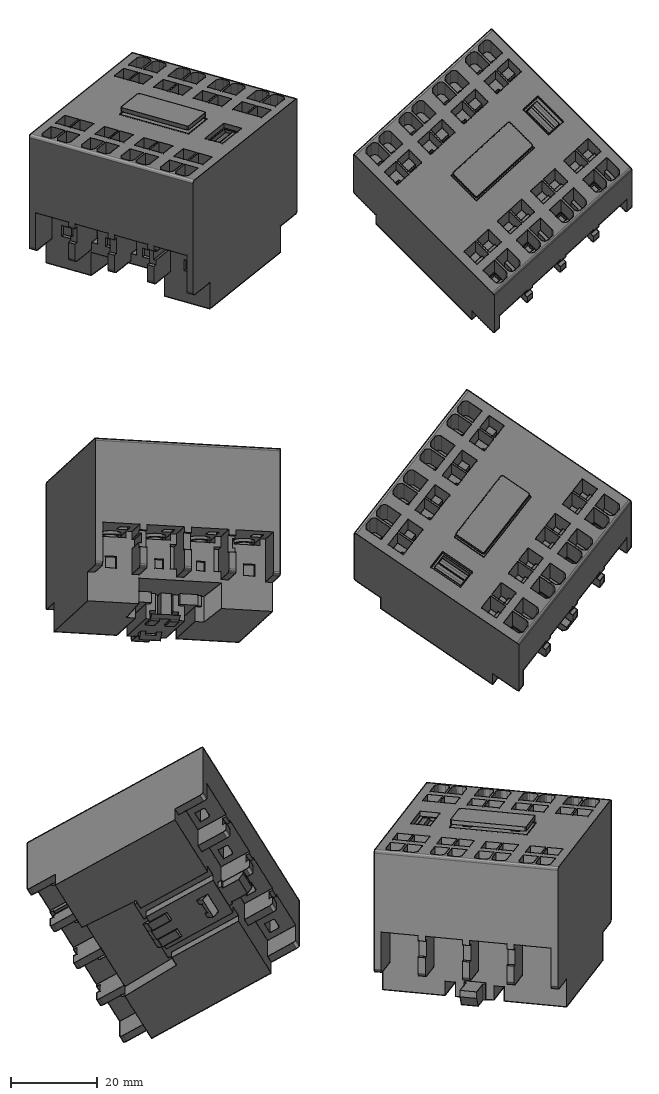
import cadquery as cq

body_width = 43.9
body_depth = 47.0
body_top = 36.95
flange_bottom = 6.85
base_depth = 31.95
top_fillet = 0.65
bottom_fillet = 0.85
face_y = base_depth / 2

pole_pitch = 10.58
pole_centres = [pole_pitch * (i - 1.5) for i in range(4)]

window_top = 17.0
partition_width = 1.75
partition_half = partition_width / 2
outer_window_end = 20.25
partition_step_z = 11.7
partition_step = 0.95
partition_head_z = 15.75

notch_width = 0.6
notch_bottom = 12.92
notch_top = 15.15
groove_outer_width = 1.6
groove_inner_width = 1.45
groove_bottom = 8.7
groove_top = 14.5
groove_depth = 2.35
outer_square = 2.7
outer_square_bottom = 8.15
outer_square_x = 16.4
inner_square = 2.05
inner_square_bottom = 8.65
inner_square_x = 4.95
square_top = 10.9
square_depth = 0.95
screw_pocket_width = 6.1
screw_pocket_bottom = 15.45
screw_pocket_depth = 5.65
screw_head_radius = 2.5
screw_head_bottom = 16.25
screw_tip_radius = 1.85

bay_width = 3.55
bay_gap = 0.5
bay_offset = (bay_width + bay_gap) / 2
bay_inner_y = 17.45
bay_outer_y = 22.4
bay_corner = 1.2
bay_depth = 9.4
wire_hole_width = 2.5
wire_hole_length = 2.6
wire_hole_shift = 0.3
wire_hole_corner = 0.4
blind_pocket_width = 2.65
blind_pocket_length = 2.0
blind_pocket_inset = 0.25
blind_pocket_depth = 1.9
tool_width = 3.65
tool_inner_y = 11.15
tool_outer_y = 15.4
tool_ledge_y = 13.25
tool_ledge_depth = 6.6
tool_depth = 8.45
tool_post_radius = 1.2

plate_length = 18.1
plate_width = 8.05
plate_bottom = 37.65
plate_thickness = 1.05
plate_corner = 0.25
plate_clearance = 0.2
plate_recess_depth = 0.25
pin_length = 2.0
pin_width = 1.18
pin_spacing_x = 11.37
pin_spacing_y = 3.15

switch_x = 16.098
switch_length = 8.55
switch_width = 4.75
switch_depth = 1.2
slider_left = 14.1
slider_length = 7.55

clip_x = -0.25
cavity_width = 19.65
cavity_taper = 0.6
cavity_height = 6.05
cavity_back_y = -1.9
channel_x = 5.85
channel_width = 2.45
channel_height = 3.52
pad_x = 5.55
pad_width = 4.25
pad_thickness = 1.4
outer_pad_width = 1.0
outer_pad_thickness = 0.7
nose_y = -3.55
nose_z = 0.85
foot_width = 6.75
foot_bottom = -0.45
foot_front_y = -2.65
foot_back_y = 2.8
foot_bevel = 0.38
foot_top = 1.4
undercut_top = 2.0
undercut_depth = 0.95
bar_width = 2.5
bar_top = 5.88
slot_width = 4.1
slot_depth = 1.4
wedge_width = 5.0
wedge_tip_z = -1.7
tab_top = 4.1
tab_bottom = 0.15
tab_width = 4.0
tab_end_y = 22.35
neck_width = wedge_width
neck_length = 0.95


def block(x_min, x_max, y_min, y_max, z_min, z_max):
    size = (x_max - x_min, y_max - y_min, z_max - z_min)
    return cq.Workplane("XY").box(*size, centered=False).translate((x_min, y_min, z_min))


def centred_block(x, width, y_min, y_max, z_min, z_max):
    return block(x - width / 2, x + width / 2, y_min, y_max, z_min, z_max)


def side_prism(points, x, width):
    """Prism along X, centred on x, over an outline of (y, z) points."""
    return cq.Workplane("YZ").polyline(points).close().extrude(width / 2, both=True).translate((x, 0, 0))


def turned(shape):
    """The same shape turned half a turn about the vertical axis."""
    return shape.rotate((0, 0, 0), (0, 0, 1), 180)


def make_body():
    upper = centred_block(0, body_width, -body_depth / 2, body_depth / 2, flange_bottom, body_top)
    upper = upper.edges("|X and >Z").fillet(top_fillet)
    upper = upper.edges("|X and <Z").fillet(bottom_fillet)
    base = centred_block(0, body_width, -face_y, face_y, 0, body_top / 2)
    return upper.union(base)


def make_windows():
    """Four windows through the front of the flange and the stepped partitions between them."""
    front_y = -body_depth / 2
    cut = block(-outer_window_end, outer_window_end, front_y, -face_y, 0, window_top)
    for i in (-1, 0, 1):
        x = i * pole_pitch
        partition = side_prism(
            [
                (front_y, 0),
                (front_y, partition_step_z),
                (front_y + partition_step, partition_step_z),
                (front_y + partition_step, partition_head_z),
                (front_y, partition_head_z),
                (front_y, window_top),
                (-face_y, window_top),
                (-face_y, 0),
            ],
            x,
            partition_width,
        )
        cut = cut.cut(partition)
    return cut


def make_front_details():
    """Recesses behind the front windows: side grooves, clamp squares and partition notches."""
    edge = pole_pitch - partition_half
    right = block(partition_half, partition_half + groove_inner_width,
                  -face_y, -face_y + groove_depth, groove_bottom, groove_top)
    right = right.union(block(edge - groove_outer_width, edge,
                              -face_y, -face_y + groove_depth, groove_bottom, groove_top))
    right = right.union(centred_block(outer_square_x, outer_square, -face_y, -face_y + square_depth,
                                      outer_square_bottom, square_top))
    right = right.union(centred_block(inner_square_x, inner_square, -face_y, -face_y + square_depth,
                                      inner_square_bottom, square_top))
    notch_x = pole_pitch + partition_half
    right = right.union(block(notch_x - notch_width, notch_x,
                              -body_depth / 2, -face_y, notch_bottom, notch_top))
    return right.union(right.mirror("YZ"))


def make_screw_pockets():
    """Pockets above the windows, each holding a stepped screw hanging from its ceiling."""
    pockets = cq.Workplane("XY")
    back_y = -face_y + screw_pocket_depth
    for x in pole_centres:
        pocket = centred_block(x, screw_pocket_width, -face_y, back_y, screw_pocket_bottom, window_top)
        for radius, bottom in ((screw_head_radius, screw_head_bottom), (screw_tip_radius, screw_pocket_bottom)):
            screw = cq.Workplane("XY", origin=(x, -face_y + screw_pocket_depth / 2, bottom))
            pocket = pocket.cut(screw.circle(radius).extrude(window_top - bottom))
        pockets = pockets.union(pocket)
    return pockets


def make_bay(x):
    """Wire bay with its two outer corners rounded."""
    bay = centred_block(x, bay_width, bay_inner_y, bay_outer_y, body_top - bay_depth, body_top)
    return bay.edges("|Z and >Y").fillet(bay_corner)


def make_terminal(x):
    """Two wire bays and two tool openings of one pole, on the back edge of the top."""
    left = x - bay_offset
    right = x + bay_offset
    floor = body_top - bay_depth
    cut = make_bay(left).union(make_bay(right))
    wire_hole = centred_block(left + wire_hole_shift, wire_hole_width, bay_inner_y,
                              bay_inner_y + wire_hole_length, flange_bottom, floor)
    wire_hole = wire_hole.edges("|Z and >Y").fillet(wire_hole_corner)
    pocket_y = bay_inner_y + blind_pocket_inset
    blind = centred_block(right - wire_hole_shift, blind_pocket_width, pocket_y,
                          pocket_y + blind_pocket_length, floor - blind_pocket_depth, floor)
    cut = cut.union(wire_hole).union(blind)
    for centre in (left, right):
        cut = cut.union(centred_block(centre, tool_width, tool_inner_y, tool_outer_y,
                                      body_top - tool_ledge_depth, body_top))
    cut = cut.union(centred_block(right, tool_width, tool_inner_y, tool_ledge_y,
                                  body_top - tool_depth, body_top))
    deep_part = centred_block(left, tool_width, tool_inner_y, tool_ledge_y, body_top - tool_depth, body_top)
    post = cq.Workplane("XY", origin=(left + tool_width / 2, tool_ledge_y, body_top - tool_depth))
    deep_part = deep_part.cut(post.circle(tool_post_radius).extrude(tool_depth - tool_ledge_depth))
    return cut.union(deep_part)


def make_plate():
    """Label plate standing on four pins."""
    plate = centred_block(0, plate_length, -plate_width / 2, plate_width / 2,
                          plate_bottom, plate_bottom + plate_thickness)
    plate = plate.edges("|Z").chamfer(plate_corner)
    floor = body_top - plate_recess_depth
    pins = (
        cq.Workplane("XY", origin=(clip_x, 0, floor))
        .rarray(pin_spacing_x, pin_spacing_y, 2, 2)
        .rect(pin_length, pin_width)
        .extrude(plate_bottom - floor)
    )
    return plate.union(pins)


def make_plate_recess():
    half = plate_width / 2 + plate_clearance
    return centred_block(0, plate_length + 2 * plate_clearance, -half, half,
                         body_top - plate_recess_depth, body_top)


def make_switch_recess():
    """Recess of the slide switch, with the stepped slider profile sunk in its floor."""
    half = switch_length / 2
    floor = body_top - switch_depth
    recess = centred_block(switch_x, switch_width, -half, half, floor, body_top)
    slider = (
        cq.Workplane("XZ")
        .moveTo(slider_left, floor)
        .lineTo(14.5, floor - 0.75)
        .lineTo(15.15, floor - 0.75)
        .lineTo(15.9, floor - 0.65)
        .lineTo(16.3, floor - 0.1)
        .lineTo(17.05, floor - 0.1)
        .lineTo(17.65, floor - 0.2)
        .lineTo(17.65, floor)
        .close()
        .extrude(slider_length / 2, both=True)
    )
    return recess.union(slider)


def make_latch_cavity():
    """Front cavity with tapered sides, two channels along Y, and the recesses around the latch."""
    half = cavity_width / 2
    cavity = (
        cq.Workplane("XY")
        .polyline([(-half, -face_y), (half, -face_y),
                   (half - cavity_taper, cavity_back_y), (cavity_taper - half, cavity_back_y)])
        .close()
        .extrude(cavity_height)
    )
    for side in (-1, 1):
        cavity = cavity.union(centred_block(side * channel_x, channel_width, -face_y, face_y, 0, channel_height))
        x = clip_x + side * pad_x
        pad = centred_block(x, pad_width, cavity_back_y - pad_thickness, cavity_back_y,
                            channel_height, cavity_height)
        x += side * (pad_width + outer_pad_width) / 2
        pad = pad.union(centred_block(x, outer_pad_width, cavity_back_y - outer_pad_thickness, cavity_back_y,
                                      channel_height, cavity_height))
        cavity = cavity.cut(pad)
    undercut = side_prism(
        [(cavity_back_y, undercut_top), (cavity_back_y + undercut_depth, foot_top), (cavity_back_y, nose_z)],
        clip_x, foot_width)
    cavity = cavity.union(undercut)
    return cavity.union(centred_block(clip_x, slot_width, cavity_back_y, cavity_back_y + slot_depth,
                                      foot_top, cavity_height))


def make_latch():
    """Latch foot with its upright bar, and the notched wedge behind it."""
    foot = side_prism(
        [(cavity_back_y + undercut_depth, foot_top), (nose_y, nose_z), (foot_front_y, 0),
         (foot_front_y + foot_bevel, foot_bottom),
         (foot_back_y - foot_bevel, foot_bottom), (foot_back_y, 0), (foot_back_y, foot_top)],
        clip_x, foot_width)
    foot = foot.cut(centred_block(clip_x, bar_width, nose_y, foot_back_y, foot_bottom, 0))
    bar = centred_block(clip_x, bar_width, nose_y, cavity_back_y + slot_depth, nose_z, bar_top)
    wedge = side_prism([(10.25, 0), (13.2, 0), (11.8, wedge_tip_z)], clip_x, wedge_width)
    wedge = wedge.cut(side_prism([(10.25, 0), (10.85, -0.75), (12.2, 0)], clip_x, bar_width))
    return foot.union(bar).union(wedge)


def make_tab():
    """Release tab at the back of the base, with a wider neck at its root."""
    tab = side_prism(
        [(face_y, tab_bottom), (21.2, tab_bottom), (tab_end_y, 2.5), (tab_end_y, tab_top), (face_y, tab_top)],
        clip_x, tab_width)
    return tab.union(centred_block(clip_x, neck_width, face_y, face_y + neck_length, tab_bottom, tab_top))


terminals = cq.Workplane("XY")
for pole_x in pole_centres:
    terminals = terminals.union(make_terminal(pole_x))

windows = make_windows()

result = make_body()
result = result.cut(windows).cut(turned(windows))
result = result.cut(make_front_details()).cut(make_screw_pockets())
result = result.cut(terminals).cut(turned(terminals))
result = result.cut(make_plate_recess()).union(make_plate())
result = result.cut(make_switch_recess())
result = result.cut(make_latch_cavity()).union(make_latch()).union(make_tab())